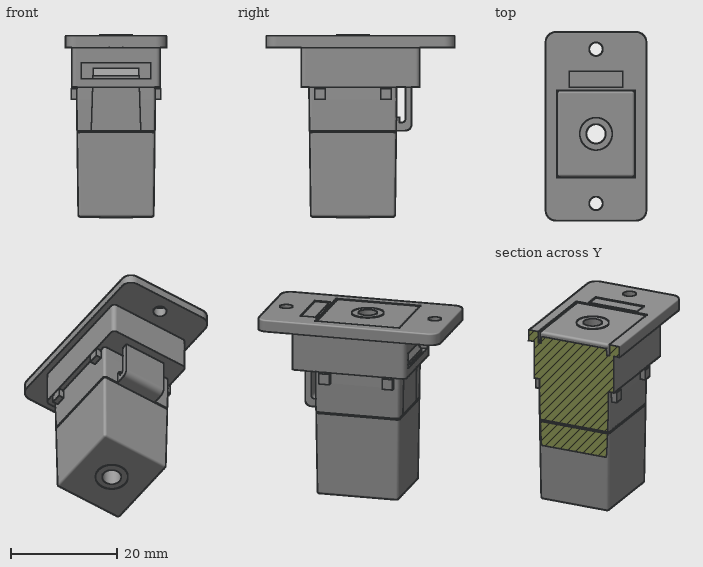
import cadquery as cq
import math

PLATE_X = 19.0
PLATE_Y = 35.5
PLATE_THICKNESS = 2.27
PLATE_CORNER_RADIUS = 2.0
PLATE_TOP_FILLET = 0.3
SCREW_HOLE_DIAMETER = 2.5
SCREW_HOLE_Y = 14.5

LABEL_X = 10.1
LABEL_Y = 2.98
LABEL_CENTRE_Y = 8.85
LABEL_DEPTH = 0.2

HOUSING_X = 16.65
HOUSING_Y = 22.3
HOUSING_BOTTOM_Z = -9.7
HOUSING_CORNER_RADIUS = 0.78

BODY_X = 14.8
BODY_Y = 16.47
BODY_CENTRE_Y = -1.42
PARTING_Z = -12.0
BODY_HEIGHT = 34.1
BODY_DRAFT = 0.75
BODY_FILLET = 0.5
BODY_FRONT_Y = BODY_CENTRE_Y - BODY_Y / 2
BODY_BACK_Y = BODY_CENTRE_Y + BODY_Y / 2

COLLAR_DIAMETER = 6.1
COLLAR_HEIGHT = 0.15
BORE_DIAMETER = 3.6

GROOVE_TOP_Z = -17.9
GROOVE_WIDTH = 0.3
GROOVE_DEPTH = 0.57

CATCH_WINDOW_X = 13.05
CATCH_WINDOW_TOP_Z = -5.15
CATCH_WINDOW_BOTTOM_Z = -8.1

TONGUE_TOP_X = 8.55
TONGUE_BOTTOM_X = 9.3
TONGUE_TOP_Z = -6.18
TONGUE_PROUD = 0.018
CATCH_RAMP_BOTTOM_Z = -7.53
CATCH_REACH = 1.05

TAB_SPAN_X = 16.9
TAB_Y = 2.0
TAB_TOP_Z = -9.98
TAB_OFFSET_Y = 6.18

LATCH_X = TONGUE_TOP_X
LATCH_OUTER_Y = 9.62
LATCH_ARM_THICKNESS = 1.2
LATCH_FOOT_THICKNESS = 1.6
LATCH_OUTER_RADIUS = 1.2
LATCH_INNER_RADIUS = 0.57
LATCH_STOP_Y = 0.55
LATCH_STOP_HEIGHT = 0.95

OVERLAP = 0.7


def box(x_size, y_min, y_max, z_min, z_max):
    """Box centred on X = 0 between the given Y and Z limits."""
    return (
        cq.Workplane("XY", origin=(0, (y_min + y_max) / 2, z_min))
        .rect(x_size, y_max - y_min)
        .extrude(z_max - z_min)
    )


def axial_cylinder(diameter):
    """Cylinder on the body axis, running from the top collar face to the bottom one."""
    return (
        cq.Workplane("XY", origin=(0, BODY_CENTRE_Y, COLLAR_HEIGHT))
        .circle(diameter / 2)
        .extrude(-(BODY_HEIGHT + 2 * COLLAR_HEIGHT))
    )


def draft_inset(z):
    """How far the drafted body faces lie inside the parting outline at height z."""
    return abs(z - PARTING_Z) * math.tan(math.radians(BODY_DRAFT))


def drafted_block(height):
    """Drafted part of the body from the parting plane up, or down for a negative height."""
    return (
        cq.Workplane("XY", origin=(0, BODY_CENTRE_Y, PARTING_Z))
        .rect(BODY_X, BODY_Y)
        .extrude(height, taper=BODY_DRAFT)
    )


def make_plate_and_housing():
    plate = (
        cq.Workplane("XY", origin=(0, 0, -PLATE_THICKNESS))
        .rect(PLATE_X, PLATE_Y)
        .extrude(PLATE_THICKNESS)
        .edges("|Z").fillet(PLATE_CORNER_RADIUS)
        .faces(">Z").edges().fillet(PLATE_TOP_FILLET)
    )
    half_housing = HOUSING_Y / 2
    housing = box(HOUSING_X, -half_housing, half_housing, HOUSING_BOTTOM_Z, -PLATE_THICKNESS)
    housing = housing.edges("|Z").fillet(HOUSING_CORNER_RADIUS)

    screw_holes = (
        cq.Workplane("XY")
        .pushPoints([(0, SCREW_HOLE_Y), (0, -SCREW_HOLE_Y)])
        .circle(SCREW_HOLE_DIAMETER / 2)
        .extrude(-PLATE_THICKNESS)
    )
    label = box(LABEL_X, LABEL_CENTRE_Y - LABEL_Y / 2, LABEL_CENTRE_Y + LABEL_Y / 2, -LABEL_DEPTH, 0)
    body_opening = box(BODY_X, BODY_FRONT_Y, BODY_BACK_Y, -PLATE_THICKNESS, 0)
    catch_window = box(
        CATCH_WINDOW_X, -half_housing, BODY_FRONT_Y + OVERLAP, CATCH_WINDOW_BOTTOM_Z, CATCH_WINDOW_TOP_Z
    )
    frame = plate.union(housing)
    for pocket in (screw_holes, label, body_opening, catch_window):
        frame = frame.cut(pocket)
    return frame


def make_body():
    upper_height = -PARTING_Z
    lower_height = BODY_HEIGHT - upper_height
    upper = drafted_block(upper_height).edges("not(<Z)").fillet(BODY_FILLET)
    lower = drafted_block(-lower_height).edges("not(>Z)").fillet(BODY_FILLET)

    groove = (
        cq.Workplane("XY", origin=(0, BODY_CENTRE_Y, GROOVE_TOP_Z))
        .rect(BODY_X, BODY_Y)
        .rect(BODY_X - 2 * GROOVE_DEPTH, BODY_Y - 2 * GROOVE_DEPTH)
        .extrude(-GROOVE_WIDTH)
    )
    collars = axial_cylinder(COLLAR_DIAMETER)
    return upper.union(lower).cut(groove).union(collars)


def make_tongue():
    """Flared tongue lying on the lower draft of the -Y face, carried up into the housing."""
    bottom_face_y = BODY_FRONT_Y + draft_inset(GROOVE_TOP_Z) - TONGUE_PROUD
    top_face_y = BODY_FRONT_Y - draft_inset(CATCH_WINDOW_BOTTOM_Z) - TONGUE_PROUD
    catch_y = BODY_FRONT_Y - CATCH_REACH
    root_y = BODY_FRONT_Y + OVERLAP
    side_profile = (
        cq.Workplane("YZ", origin=(-TONGUE_BOTTOM_X / 2, 0, 0))
        .polyline([
            (root_y, TONGUE_TOP_Z),
            (BODY_FRONT_Y, TONGUE_TOP_Z),
            (catch_y, CATCH_RAMP_BOTTOM_Z),
            (catch_y, CATCH_WINDOW_BOTTOM_Z),
            (top_face_y, CATCH_WINDOW_BOTTOM_Z),
            (bottom_face_y, GROOVE_TOP_Z),
            (root_y, GROOVE_TOP_Z),
        ])
        .close()
        .extrude(TONGUE_BOTTOM_X)
    )
    front_outline = (
        cq.Workplane("XZ", origin=(0, root_y, 0))
        .polyline([
            (-TONGUE_TOP_X / 2, TONGUE_TOP_Z),
            (TONGUE_TOP_X / 2, TONGUE_TOP_Z),
            (TONGUE_BOTTOM_X / 2, GROOVE_TOP_Z),
            (-TONGUE_BOTTOM_X / 2, GROOVE_TOP_Z),
        ])
        .close()
        .extrude(root_y - catch_y)
    )
    return side_profile.intersect(front_outline)


def make_tabs():
    tabs = cq.Workplane("XY")
    for side in (-1, 1):
        centre_y = BODY_CENTRE_Y + side * TAB_OFFSET_Y
        tabs = tabs.union(box(TAB_SPAN_X, centre_y - TAB_Y / 2, centre_y + TAB_Y / 2, PARTING_Z, TAB_TOP_Z))
    return tabs


def make_latch():
    root_y = BODY_BACK_Y - OVERLAP
    inner_y = LATCH_OUTER_Y - LATCH_ARM_THICKNESS
    foot_top_z = GROOVE_TOP_Z + LATCH_FOOT_THICKNESS
    arm_top_z = HOUSING_BOTTOM_Z + OVERLAP
    arm_and_foot = box(LATCH_X, root_y, LATCH_OUTER_Y, GROOVE_TOP_Z, arm_top_z)
    arm_and_foot = arm_and_foot.edges("|X and >Y and <Z").fillet(LATCH_OUTER_RADIUS)
    clearance = box(LATCH_X, root_y, inner_y, foot_top_z, arm_top_z)
    clearance = clearance.edges("|X and >Y and <Z").fillet(LATCH_INNER_RADIUS)
    stop = box(LATCH_X, root_y, BODY_BACK_Y + LATCH_STOP_Y, foot_top_z, foot_top_z + LATCH_STOP_HEIGHT)
    return arm_and_foot.cut(clearance).union(stop)


result = make_plate_and_housing()
for feature in (make_body(), make_tongue(), make_tabs(), make_latch()):
    result = result.union(feature)
result = result.cut(axial_cylinder(BORE_DIAMETER))